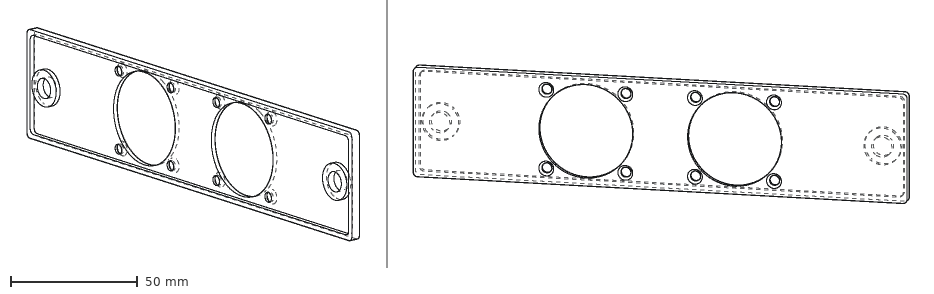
import cadquery as cq

length = 199.6
height = 44.5
thickness = 4.0
corner_radius = 1.8

rim_width = 2.0
recess_depth = 2.0
recess_corner_radius = 2.0
floor_thickness = thickness - recess_depth

opening_diameter = 38.0
opening_spacing = 60.0
screw_hole_diameter = 4.0
screw_hole_spacing = 32.0
countersink_diameter = 6.0
countersink_depth = (countersink_diameter - screw_hole_diameter) / 2

boss_diameter = 15.0
boss_height = recess_depth
boss_spacing = 178.6
boss_hole_diameter = 8.2
boss_hole_depth = 3.0


def plane_at(distance_from_back):
    """Plane parallel to the plate, with its normal toward the recessed side (-Y)."""
    return cq.Workplane("XZ", origin=(0, thickness / 2 - distance_from_back, 0))


def rounded_block(base, block_length, block_height, depth, radius):
    """Rectangular block with its four corners rounded."""
    return base.rect(block_length, block_height).extrude(depth).edges("|Y").fillet(radius)


opening_centers = [(-opening_spacing / 2, 0), (opening_spacing / 2, 0)]
boss_centers = [(-boss_spacing / 2, 0), (boss_spacing / 2, 0)]
screw_centers = [
    (center_x + side_x * screw_hole_spacing / 2, side_z * screw_hole_spacing / 2)
    for center_x, _ in opening_centers
    for side_x in (-1, 1)
    for side_z in (-1, 1)
]

plate = rounded_block(plane_at(0), length, height, thickness, corner_radius)
recess = rounded_block(
    plane_at(floor_thickness),
    length - 2 * rim_width,
    height - 2 * rim_width,
    recess_depth,
    recess_corner_radius,
)
result = plate.cut(recess)

openings = plane_at(0).pushPoints(opening_centers).circle(opening_diameter / 2).extrude(thickness)
screw_holes = plane_at(0).pushPoints(screw_centers).circle(screw_hole_diameter / 2).extrude(thickness)
result = result.cut(openings).cut(screw_holes)

countersinks = (
    plane_at(0)
    .pushPoints(screw_centers)
    .circle(countersink_diameter / 2)
    .extrude(countersink_depth, taper=45)
)
result = result.cut(countersinks)

boss_top = floor_thickness + boss_height
bosses = plane_at(0).pushPoints(boss_centers).circle(boss_diameter / 2).extrude(boss_top)
boss_holes = (
    plane_at(boss_top - boss_hole_depth)
    .pushPoints(boss_centers)
    .circle(boss_hole_diameter / 2)
    .extrude(boss_hole_depth)
)
result = result.union(bosses).cut(boss_holes)